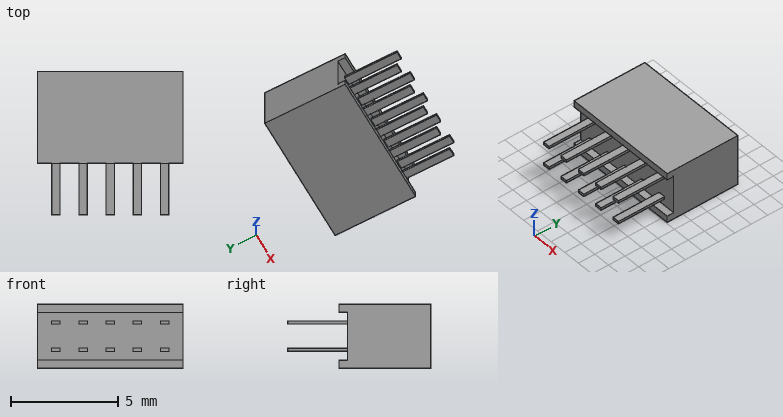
import cadquery as cq

body_width = 6.81
body_depth = 4.3
body_height = 3.0

lip_depth = 0.395
lip_thickness = 0.39

pin_columns = 5
pin_rows = 2
pin_row_span = 5.08
pin_pitch = pin_row_span / (pin_columns - 1)
pin_width = 0.4
pin_thickness = 0.15
pin_reach = 2.405

recess_floor_y = lip_depth
pin_length = lip_depth + pin_reach


def make_housing():
    """Block with its lip edges on y = 0, extending toward +Y."""
    block = cq.Workplane("XY").box(body_width, body_depth, body_height, centered=(True, False, True))
    recess_height = body_height - 2 * lip_thickness
    recess = cq.Workplane("XY").box(body_width, lip_depth, recess_height, centered=(True, False, True))
    return block.cut(recess)


def make_pins():
    """Flat pins running from the recess floor toward -Y."""
    return (
        cq.Workplane("XZ", origin=(0, recess_floor_y, 0))
        .rarray(pin_pitch, pin_pitch, pin_columns, pin_rows)
        .rect(pin_width, pin_thickness)
        .extrude(pin_length)
    )


result = make_housing().union(make_pins())